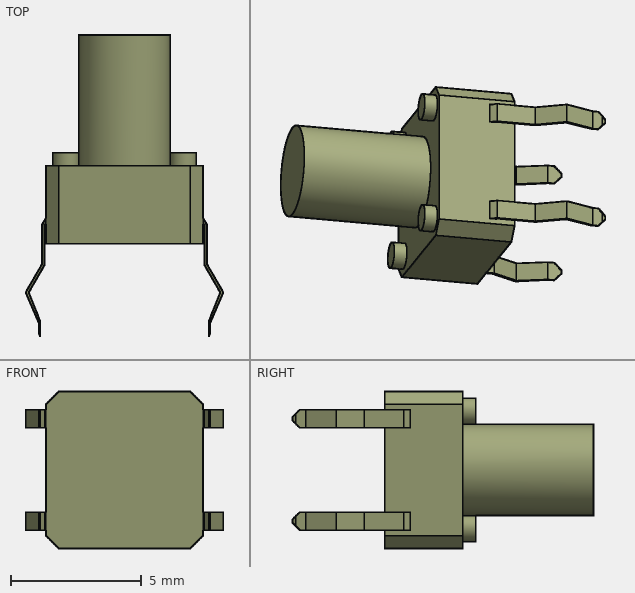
import cadquery as cq


total_length = 11.52

body_side = 6.01
body_depth = 3.0
corner_chamfer = 0.5

plunger_diameter = 3.5
plunger_height = 5.0
stud_diameter = 1.0
stud_height = 0.5
stud_offset = 2.25

leg_width = 0.7
leg_offset = 1.96
leg_span = 7.57
leg_outer_face = 3.16
leg_inner_face = 3.05
leg_root_y = 0.99
root_bend_y = 0.74
upper_bend_y = -0.77
upper_bend_shift = 0.03
knee_y = -1.85
knee_thickness = 0.13
lower_bend_y = -3.02
lower_bend_shift = 0.05
tip_y = body_depth + plunger_height - total_length
tip_outer_face = 3.28
tip_inner_face = 3.21
tip_side_chamfer = 0.29
tip_bevel_length = 0.13
tip_bevel_depth = 0.05
root_embed = 0.09


def make_body():
    body = cq.Workplane("XY").box(body_side, body_depth, body_side, centered=(True, False, True))
    return body.edges("|Y").chamfer(corner_chamfer)


def cylinder_on_top(x, z, diameter, height):
    """Cylinder standing on the +Y face of the body."""
    axis_base = cq.Vector(x, body_depth, z)
    return cq.Workplane(cq.Solid.makeCylinder(diameter / 2, height, axis_base, cq.Vector(0, 1, 0)))


def make_leg():
    """Leg on the +X side, centred on Z = 0."""
    body_face = body_side / 2
    knee_outer_face = leg_span / 2
    root_slope = (leg_root_y - root_bend_y) / (leg_outer_face - body_face)
    embedded_y = leg_root_y + root_embed * root_slope
    profile = [
        (body_face - root_embed, embedded_y),
        (leg_outer_face, root_bend_y),
        (leg_outer_face, upper_bend_y),
        (knee_outer_face, knee_y),
        (tip_outer_face, lower_bend_y),
        (tip_outer_face, tip_y + tip_bevel_length),
        (tip_outer_face - tip_bevel_depth, tip_y),
        (tip_inner_face, tip_y),
        (tip_inner_face, lower_bend_y + lower_bend_shift),
        (knee_outer_face - knee_thickness, knee_y),
        (leg_inner_face, upper_bend_y - upper_bend_shift),
        (leg_inner_face, root_bend_y),
        (body_face - root_embed, root_bend_y),
    ]
    strip = cq.Workplane("XY").polyline(profile).close().extrude(leg_width / 2, both=True)

    half_width = leg_width / 2
    tip_half_width = half_width - tip_side_chamfer
    outline = [
        (embedded_y, half_width),
        (tip_y + tip_side_chamfer, half_width),
        (tip_y, tip_half_width),
        (tip_y, -tip_half_width),
        (tip_y + tip_side_chamfer, -half_width),
        (embedded_y, -half_width),
    ]
    pointed = cq.Workplane("YZ").polyline(outline).close().extrude(leg_span)
    return strip.intersect(pointed)


result = make_body()
result = result.union(cylinder_on_top(0, 0, plunger_diameter, plunger_height))

for x_side in (-1, 1):
    for z_side in (-1, 1):
        stud = cylinder_on_top(x_side * stud_offset, z_side * stud_offset, stud_diameter, stud_height)
        result = result.union(stud)

right_leg = make_leg()
left_leg = right_leg.mirror("YZ")
for z_side in (-1, 1):
    for leg in (left_leg, right_leg):
        result = result.union(leg.translate((0, 0, z_side * leg_offset)))